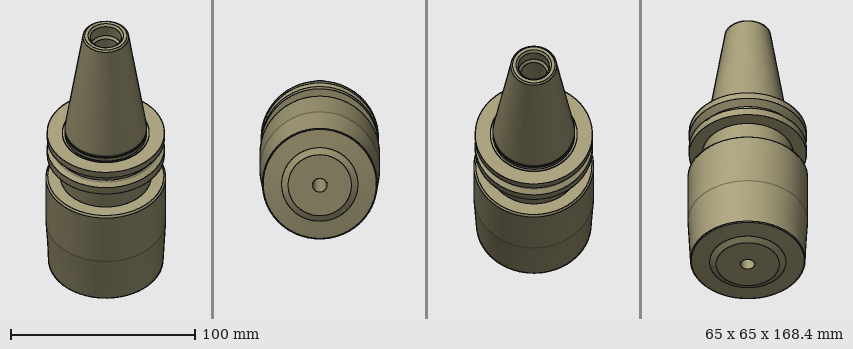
import cadquery as cq

total_height = 168.4

gauge_radius = 22.2
gauge_height = 100.4
taper_slope = 7 / 48
shank_edge = 0.8
undercut_radius = 21.9
undercut_top = 99.2
undercut_bottom = 98.3

flange_radius = 31.8
flange_top = 96.8
flange_bottom = 80.8
face_groove_radius = 23.5
face_groove_depth = 0.5
groove_radius = 28.1
groove_rim_top = 92.8
groove_floor_top = 90.1
groove_floor_bottom = 87.5
groove_relief_radius = 29.0
groove_relief_height = 87.0
groove_rim_bottom = 85.5

neck_radius = 24.8
body_radius = 32.5
body_top = 64.7
body_chamfer = 1.0
nut_top = 31.7
nut_bottom_radius = 31.2
nut_bottom = 3.2
nut_edge = 0.5
nose_ring_radius = 20.7
nose_ring_height = 1.7
nose_radius = 17.2

mouth_radius = 9.6
bore_radius = 8.5
mouth_depth = mouth_radius - bore_radius
bore_depth = 7.7
thread_radius = 7.0
thread_depth = 32.0
through_radius = 3.9


def revolve_profile(points):
    """Turn a closed (radius, height) outline about the Z axis."""
    return cq.Workplane("XZ").polyline(points).close().revolve(360, (0, 0), (0, 1))


def make_outside():
    shank_end_radius = gauge_radius - (total_height - gauge_height) * taper_slope
    edge_base_radius = shank_end_radius + shank_edge * taper_slope
    face_groove_floor = flange_top - face_groove_depth
    return revolve_profile([
        (0, 0),
        (nose_radius, 0),
        (nose_ring_radius, nose_ring_height),
        (nut_bottom_radius - nut_edge, nut_bottom - nut_edge),
        (nut_bottom_radius, nut_bottom),
        (body_radius, nut_top),
        (body_radius, body_top - body_chamfer),
        (body_radius - body_chamfer, body_top),
        (neck_radius, body_top),
        (neck_radius, flange_bottom),
        (flange_radius, flange_bottom),
        (flange_radius, groove_rim_bottom),
        (groove_relief_radius, groove_relief_height),
        (groove_radius, groove_floor_bottom),
        (groove_radius, groove_floor_top),
        (flange_radius, groove_rim_top),
        (flange_radius, flange_top),
        (face_groove_radius, flange_top),
        (face_groove_radius, face_groove_floor),
        (gauge_radius, face_groove_floor),
        (gauge_radius, undercut_bottom),
        (undercut_radius, undercut_bottom),
        (undercut_radius, undercut_top),
        (gauge_radius, undercut_top),
        (gauge_radius, gauge_height),
        (edge_base_radius, total_height - shank_edge),
        (shank_end_radius - shank_edge, total_height),
        (0, total_height),
    ])


def make_bore():
    shoulder = total_height - bore_depth
    shoulder_cone = bore_radius - thread_radius
    thread_end = total_height - thread_depth
    drill_cone = thread_radius - through_radius
    return revolve_profile([
        (0, 0),
        (through_radius, 0),
        (through_radius, thread_end - drill_cone),
        (thread_radius, thread_end),
        (thread_radius, shoulder - shoulder_cone),
        (bore_radius, shoulder),
        (bore_radius, total_height - mouth_depth),
        (mouth_radius, total_height),
        (0, total_height),
    ])


result = make_outside().cut(make_bore())